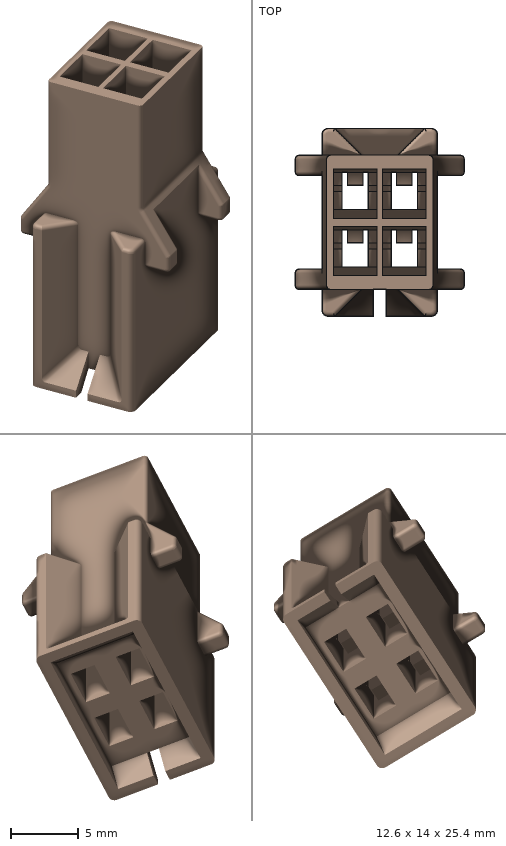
import cadquery as cq

height = 25.45
neck_width = 7.9
neck_length = 10.0
body_width = 8.6
body_length = 14.0
body_height = 14.0
body_corner_round = 0.45
body_top_round = 0.3

wing_span = 12.6
wing_thickness = 1.53
shoulder_z = 16.43
wing_tip_z = 12.97
wing_bottom_z = 11.55
shoulder_round = 0.45
wing_tip_round = 0.2
wing_bottom_round = 0.33
neck_and_wing_edge_round = 0.3

pocket_outer_width = 6.72
pocket_inner_width = 2.7
pocket_floor_outer_z = 0.6
pocket_floor_inner_z = 2.95
pocket_floor_round = 0.45
slot_width = 0.97

recess_width = 6.72
recess_mouth_length = 12.31
recess_depth = 1.5

cell_width = 3.25
cell_length = 3.66
cell_pitch_x = 3.66
cell_pitch_y = 4.27
ledge_z = 7.63
front_ramp_height = 2.55
back_ramp_height = 0.1
window_width = 1.93
window_front_y = -1.17
window_back_y = 1.58
groove_front_y = 0.15
groove_back_y = 0.6
groove_depth = 0.5
latch_width = 1.17
latch_height = 2.04

half_neck_length = neck_length / 2
half_body_length = body_length / 2
selection_margin = 0.25


def near_level(z):
    """Selector for edges centred close to height z."""
    return cq.selectors.BoxSelector(
        (-wing_span, -body_length, z - selection_margin),
        (wing_span, body_length, z + selection_margin),
    )


def extrude_along_x(section, width):
    """Solid from a YZ outline, centred on X = 0."""
    return cq.Workplane("YZ").polyline(section).close().extrude(width / 2, both=True)


def box_on_base(x_size, y_start, y_end, z_start, z_end):
    """Box centred on X = 0 between the given Y and Z limits."""
    base = cq.Workplane("XY", origin=(0, (y_start + y_end) / 2, z_start))
    return base.box(x_size, y_end - y_start, z_end - z_start, (True, True, False))


def shouldered_slab(half_width, y_start, thickness):
    """Neck with shoulders sloping outward until they reach half_width."""
    half_neck_width = neck_width / 2
    slope = (shoulder_z - wing_tip_z) / (wing_span / 2 - half_neck_width)
    tip_z = shoulder_z - slope * (half_width - half_neck_width)
    right_side = [
        (half_neck_width, height),
        (half_neck_width, shoulder_z),
        (half_width, tip_z),
        (half_width, wing_bottom_z),
    ]
    left_side = [(-x, z) for x, z in reversed(right_side)]
    plane = cq.Workplane("XZ", origin=(0, y_start + thickness, 0))
    slab = plane.polyline(right_side + left_side).close().extrude(thickness)
    return slab.edges("|Y").edges(near_level(shoulder_z)).fillet(shoulder_round)


def wing_slab(y_start):
    """Full-span slab carrying one left and one right wing."""
    slab = shouldered_slab(wing_span / 2, y_start, wing_thickness)
    slab = slab.edges("|Y").edges("<Z").fillet(wing_bottom_round)
    slab = slab.edges("|Y").edges(near_level(wing_tip_z)).fillet(wing_tip_round)
    return slab.faces("<Y or >Y").edges("not >Z").fillet(neck_and_wing_edge_round)


def neck_with_wings():
    core_length = neck_length - 2 * neck_and_wing_edge_round
    core = shouldered_slab(body_width / 2, -core_length / 2, core_length)
    front_wings = wing_slab(-half_neck_length)
    back_wings = wing_slab(half_neck_length - wing_thickness)
    return core.union(front_wings).union(back_wings)


def pocket():
    """Flared pocket of the +Y end wall, with a sloping floor."""
    plan = [
        (-pocket_inner_width / 2, half_neck_length),
        (pocket_inner_width / 2, half_neck_length),
        (pocket_outer_width / 2, half_body_length),
        (-pocket_outer_width / 2, half_body_length),
    ]
    section = [
        (half_neck_length, pocket_floor_inner_z),
        (half_body_length, pocket_floor_outer_z),
        (half_body_length, body_height),
        (half_neck_length, body_height),
    ]
    flare = cq.Workplane("XY").polyline(plan).close().extrude(body_height)
    space = flare.intersect(extrude_along_x(section, pocket_outer_width))
    return space.faces("<Z").edges("not |X").fillet(pocket_floor_round)


def body():
    solid = box_on_base(body_width, -half_body_length, half_body_length, 0, body_height)
    solid = solid.edges("|Z").fillet(body_corner_round)
    for angle in (0, 180):
        solid = solid.cut(pocket().rotate((0, 0, 0), (0, 0, 1), angle))
    neck_edges = cq.selectors.BoxSelector(
        (-selection_margin, -half_body_length, body_height - selection_margin),
        (selection_margin, half_body_length, body_height + selection_margin),
    )
    top_edges = solid.faces(">Z").edges(cq.selectors.InverseSelector(neck_edges))
    return top_edges.fillet(body_top_round)


def front_floor_slot():
    return box_on_base(slot_width, -half_body_length, -half_neck_length, 0, pocket_floor_inner_z)


def underside_recess():
    section = [
        (-recess_mouth_length / 2, 0),
        (recess_mouth_length / 2, 0),
        (half_neck_length, recess_depth),
        (-half_neck_length, recess_depth),
    ]
    return extrude_along_x(section, recess_width)


def contact_cell():
    """Cavity that narrows to a grooved ledge with a window; a latch projects into the window."""
    half_cell = cell_length / 2
    section = [
        (-half_cell, height),
        (-half_cell, ledge_z + front_ramp_height),
        (window_front_y, ledge_z),
        (groove_front_y, ledge_z),
        (groove_front_y, ledge_z - groove_depth),
        (groove_back_y, ledge_z - groove_depth),
        (groove_back_y, ledge_z),
        (window_back_y, ledge_z),
        (half_cell, ledge_z + back_ramp_height),
        (half_cell, height),
    ]
    cavity = extrude_along_x(section, cell_width)
    window = box_on_base(window_width, window_front_y, window_back_y, 0, ledge_z)
    latch = box_on_base(latch_width, groove_back_y, window_back_y, ledge_z - latch_height, ledge_z)
    return cavity.union(window).cut(latch)


result = neck_with_wings().union(body())
result = result.cut(underside_recess()).cut(front_floor_slot())
for cell_x in (-cell_pitch_x / 2, cell_pitch_x / 2):
    for cell_y in (-cell_pitch_y / 2, cell_pitch_y / 2):
        result = result.cut(contact_cell().translate((cell_x, cell_y, 0)))